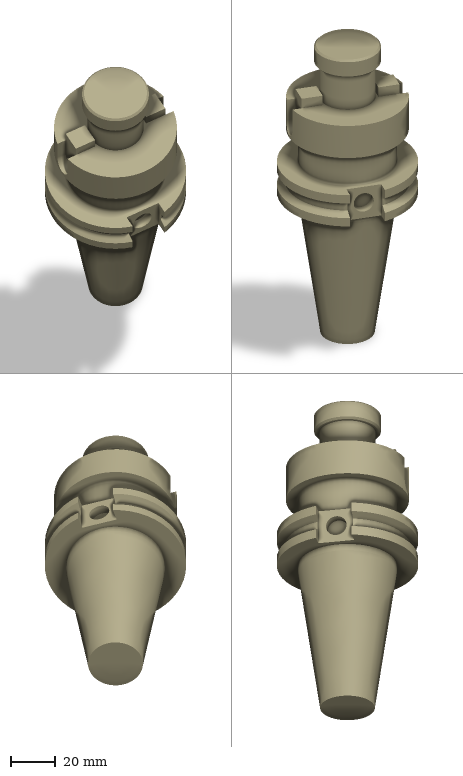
import cadquery as cq
import math

taper_length = 68.3
taper_top_radius = 22.3
taper_bottom_radius = taper_top_radius - taper_length * 7 / 48

flange_bottom = 71.4
flange_top = 87.4
flange_radius = 63.5 / 2
groove_center = (flange_bottom + flange_top) / 2
groove_floor_radius = 28.3
groove_floor_width = 3.5
groove_wall_height = (flange_radius - groove_floor_radius) * math.tan(math.radians(30))
groove_floor_bottom = groove_center - groove_floor_width / 2
groove_floor_top = groove_center + groove_floor_width / 2

drive_slot_width = 16.4
drive_slot_floor = 25.0
dimple_diameter = 9.5
dimple_depth = 4.4

neck_radius = 22.3
neck_fillet = 0.9
collar_bottom = 104.2
collar_top = 120.7
collar_radius = 55.3 / 2
pilot_radius = 25.4 / 2

key_width = 9.5
key_bottom = 105.5
key_top = 125.6
key_inner = 13.1
key_outer = 23.0

head_bottom = 138.3
head_top = 147.4
head_radius = 30.0 / 2
head_chamfer = 0.9


def make_turned_holder():
    """Shank, flange, neck, collar and pilot as one revolved profile of (radius, z)."""
    profile = [
        (0, 0),
        (taper_bottom_radius, 0),
        (taper_top_radius, taper_length),
        (taper_top_radius, flange_bottom),
        (flange_radius, flange_bottom),
        (flange_radius, groove_floor_bottom - groove_wall_height),
        (groove_floor_radius, groove_floor_bottom),
        (groove_floor_radius, groove_floor_top),
        (flange_radius, groove_floor_top + groove_wall_height),
        (flange_radius, flange_top),
        (neck_radius, flange_top),
        (neck_radius, collar_bottom),
        (collar_radius, collar_bottom),
        (collar_radius, collar_top),
        (pilot_radius, collar_top),
        (pilot_radius, head_bottom),
        (0, head_bottom),
    ]
    turned = cq.Workplane("XZ").polyline(profile).close().revolve(360, (0, 0), (0, 1))
    neck_region = cq.selectors.BoxSelector(
        (-collar_radius, -collar_radius, flange_top - neck_fillet),
        (collar_radius, collar_radius, collar_bottom + neck_fillet),
        boundingbox=True,
    )
    neck_end_edges = turned.faces(neck_region).faces("%CYLINDER").edges("%CIRCLE")
    return neck_end_edges.fillet(neck_fillet)


def make_drive_slot(side):
    """Cutter for one flange slot and the blind hole in its floor; side is -1 or +1 along X."""
    slot_depth = flange_radius - drive_slot_floor
    slot = cq.Workplane("XY").box(slot_depth, drive_slot_width, flange_top - flange_bottom)
    slot = slot.translate((
        side * (drive_slot_floor + slot_depth / 2),
        0,
        groove_center,
    ))
    dimple = (
        cq.Workplane("YZ", origin=(side * drive_slot_floor, 0, groove_center))
        .circle(dimple_diameter / 2)
        .extrude(-side * dimple_depth)
    )
    return slot.union(dimple)


def make_key_shape(side, outer, top):
    """Round-bottomed bar along Y from key_inner to outer; side is -1 or +1 along Y."""
    half_width = key_width / 2
    arc_center = key_bottom + half_width
    return (
        cq.Workplane("XZ", origin=(0, side * key_inner, 0))
        .moveTo(-half_width, top)
        .lineTo(-half_width, arc_center)
        .threePointArc((0, key_bottom), (half_width, arc_center))
        .lineTo(half_width, top)
        .close()
        .extrude(-side * (outer - key_inner))
    )


def make_holder():
    holder = make_turned_holder()
    for side in (-1, 1):
        holder = holder.cut(make_drive_slot(side))
        holder = holder.cut(make_key_shape(side, collar_radius, collar_top))
    return holder


def make_screw_head():
    return (
        cq.Workplane("XY", origin=(0, 0, head_bottom))
        .circle(head_radius)
        .extrude(head_top - head_bottom)
        .edges()
        .chamfer(head_chamfer)
    )


holder = make_holder()
screw_head = make_screw_head()
driving_keys = [make_key_shape(side, key_outer, key_top) for side in (-1, 1)]

result = cq.Compound.makeCompound(
    [holder.val(), screw_head.val(), *[key.val() for key in driving_keys]]
)